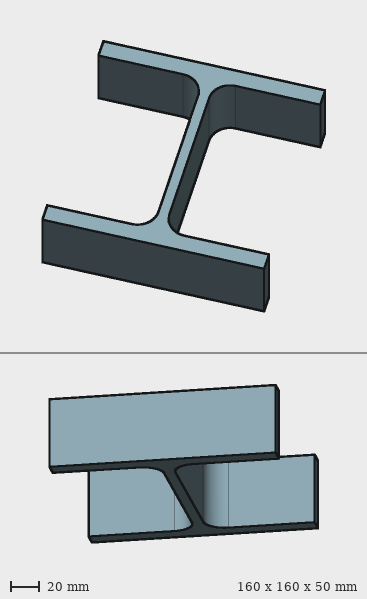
import cadquery as cq

section_depth = 160.0
flange_width = 160.0
flange_thickness = 13.0
web_thickness = 8.0
root_radius = 15.0
beam_length = 50.0

web_height = section_depth - 2 * flange_thickness
flange_offset = (section_depth - flange_thickness) / 2


def make_flange(center_y):
    return (
        cq.Workplane("XY")
        .center(0, center_y)
        .rect(flange_width, flange_thickness)
        .extrude(beam_length)
    )


beam = cq.Workplane("XY").rect(web_thickness, web_height).extrude(beam_length)
for side in (-1, 1):
    beam = beam.union(make_flange(side * flange_offset))

root_corners = cq.selectors.BoxSelector(
    (-web_thickness, -section_depth / 2, 0),
    (web_thickness, section_depth / 2, beam_length),
)
result = beam.edges("|Z").edges(root_corners).fillet(root_radius)